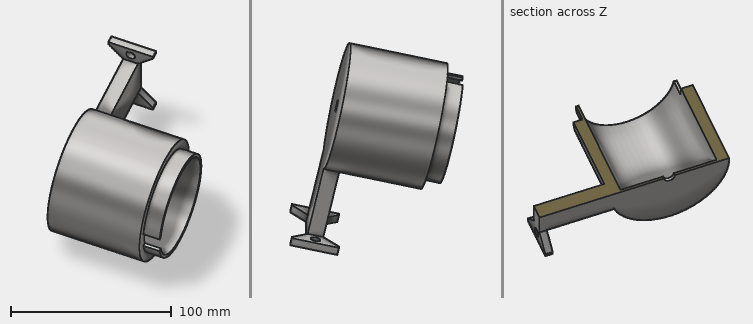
import cadquery as cq
import math

body_radius = 40.0
body_length = 62.0
end_wall = 2.0
axle_hole_diameter = 7.0

collar_radius = 34.0
collar_length = 10.9
collar_wall = 2.0
slot_angle = 20
bore_radius = collar_radius - collar_wall

overall_depth = 127.1
arm_thickness = 10.0
arm_half_height = 15.0
back_y = overall_depth - body_radius

plate_thickness = 5.0
ear_overhang = arm_thickness
ear_tip_height = 2.0
ear_half_height = arm_half_height + ear_overhang + ear_tip_height
screw_hole_diameter = 6.0
screw_hole_z = 21.0


def cylinder_x(radius, start, length):
    """Solid cylinder on the X axis."""
    return cq.Workplane("YZ").workplane(offset=start).circle(radius).extrude(length)


def make_arm():
    """Straight bar from the housing axis to the back of the plate."""
    return cq.Workplane("XY").box(
        arm_thickness, back_y, 2 * arm_half_height, centered=(False, False, True)
    )


def make_ear(side):
    """Flared, drilled half of the plate; side is +1 for the upper one and -1 for the lower one."""
    left = -ear_overhang
    right = arm_thickness + ear_overhang
    flare_end = side * (arm_half_height + ear_overhang)
    tip = side * ear_half_height
    root = side * arm_half_height
    ear = (
        cq.Workplane("XZ", origin=(0, back_y, 0))
        .moveTo(0, 0)
        .lineTo(0, root)
        .lineTo(left, flare_end)
        .lineTo(left, tip)
        .lineTo(right, tip)
        .lineTo(right, flare_end)
        .lineTo(arm_thickness, root)
        .lineTo(arm_thickness, 0)
        .close()
        .extrude(plate_thickness)
    )
    hole = (
        cq.Workplane("XZ", origin=(0, back_y, 0))
        .center(arm_thickness / 2, side * screw_hole_z)
        .circle(screw_hole_diameter / 2)
        .extrude(plate_thickness)
    )
    return ear.cut(hole)


def make_collar_slot():
    """Wedge cutter through the -Y wall of the collar, with sides radial to the axis."""
    half_width = collar_radius * math.tan(math.radians(slot_angle / 2))
    return (
        cq.Workplane("YZ")
        .workplane(offset=body_length)
        .polyline([(0, 0), (-collar_radius, half_width), (-collar_radius, -half_width)])
        .close()
        .extrude(collar_length)
    )


result = (
    cylinder_x(body_radius, 0, body_length)
    .union(cylinder_x(collar_radius, body_length, collar_length))
    .union(make_arm())
)
for side in (1, -1):
    result = result.union(make_ear(side))

bore_length = body_length + collar_length - end_wall
result = result.cut(cylinder_x(bore_radius, end_wall, bore_length))
result = result.cut(cylinder_x(axle_hole_diameter / 2, 0, end_wall))
result = result.cut(make_collar_slot())